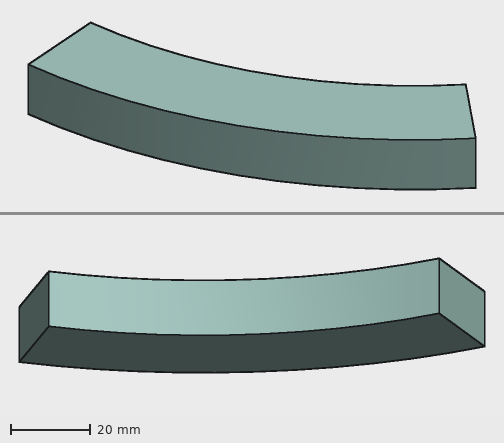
import cadquery as cq
import math

length = 107.3
thickness = 15.0
inner_radius = 129.2
start_angle = 4.0
sweep_angle = 45.0
end_angle = start_angle + sweep_angle
middle_angle = start_angle + sweep_angle / 2

outer_radius = (
    length + inner_radius * math.sin(math.radians(start_angle))
) / math.sin(math.radians(end_angle))


def arc_point(radius, angle):
    """Point on a circle about the origin, at an angle from -Y towards +X."""
    turn = math.radians(angle)
    return radius * math.sin(turn), -radius * math.cos(turn)


result = (
    cq.Workplane("XY")
    .moveTo(*arc_point(inner_radius, start_angle))
    .lineTo(*arc_point(outer_radius, start_angle))
    .threePointArc(arc_point(outer_radius, middle_angle), arc_point(outer_radius, end_angle))
    .lineTo(*arc_point(inner_radius, end_angle))
    .threePointArc(arc_point(inner_radius, middle_angle), arc_point(inner_radius, start_angle))
    .close()
    .extrude(thickness)
)